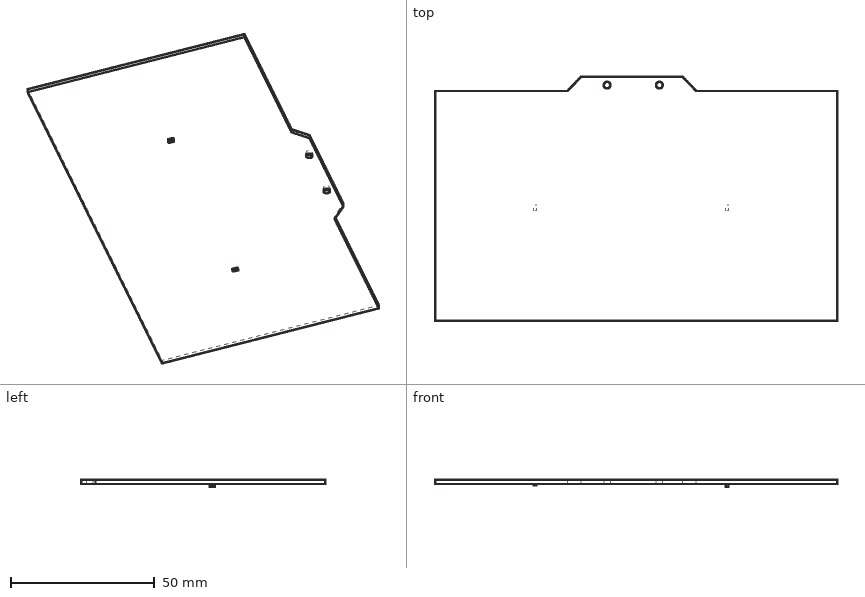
import cadquery as cq

PLATE_LENGTH = 140.0
PLATE_THICKNESS = 1.5
OVERALL_WIDTH = 85.0
TAB_DEPTH = 4.9
PLATE_WIDTH = OVERALL_WIDTH - TAB_DEPTH
TAB_CENTER_X = -1.5
TAB_ROOT_LENGTH = 44.8
TAB_TIP_LENGTH = 35.3

HOLE_DIAMETER = 2.2
HOLE_SPACING = 18.2
HOLE_CENTER_X = -1.05
HOLE_EDGE_DISTANCE = 3.0

OVERALL_HEIGHT = 2.5
BLOCK_LENGTH = 1.0
BLOCK_WIDTH = 2.0
BLOCK_CENTER_Y = 39.3
TALL_BLOCK_X = 31.6
TALL_BLOCK_HEIGHT = OVERALL_HEIGHT - PLATE_THICKNESS
LOW_BLOCK_X = -35.3
LOW_BLOCK_HEIGHT = 0.4


def make_plate():
    """Plate with its underside on Z = 0 and its front edge on Y = 0."""
    half_length = PLATE_LENGTH / 2
    half_root = TAB_ROOT_LENGTH / 2
    half_tip = TAB_TIP_LENGTH / 2
    outline = [
        (-half_length, 0),
        (half_length, 0),
        (half_length, PLATE_WIDTH),
        (TAB_CENTER_X + half_root, PLATE_WIDTH),
        (TAB_CENTER_X + half_tip, OVERALL_WIDTH),
        (TAB_CENTER_X - half_tip, OVERALL_WIDTH),
        (TAB_CENTER_X - half_root, PLATE_WIDTH),
        (-half_length, PLATE_WIDTH),
    ]
    hole_y = OVERALL_WIDTH - HOLE_EDGE_DISTANCE
    hole_centers = [(HOLE_CENTER_X + side * HOLE_SPACING / 2, hole_y) for side in (-1, 1)]
    holes = (
        cq.Workplane("XY")
        .pushPoints(hole_centers)
        .circle(HOLE_DIAMETER / 2)
        .extrude(PLATE_THICKNESS)
    )
    return cq.Workplane("XY").polyline(outline).close().extrude(PLATE_THICKNESS).cut(holes)


def make_block(center_x, height):
    """Rectangular block hanging from the underside of the plate."""
    return (
        cq.Workplane("XY")
        .center(center_x, BLOCK_CENTER_Y)
        .rect(BLOCK_LENGTH, BLOCK_WIDTH)
        .extrude(-height)
    )


plate = make_plate()
tall_block = make_block(TALL_BLOCK_X, TALL_BLOCK_HEIGHT)
low_block = make_block(LOW_BLOCK_X, LOW_BLOCK_HEIGHT)

result = cq.Compound.makeCompound([plate.val(), tall_block.val(), low_block.val()])